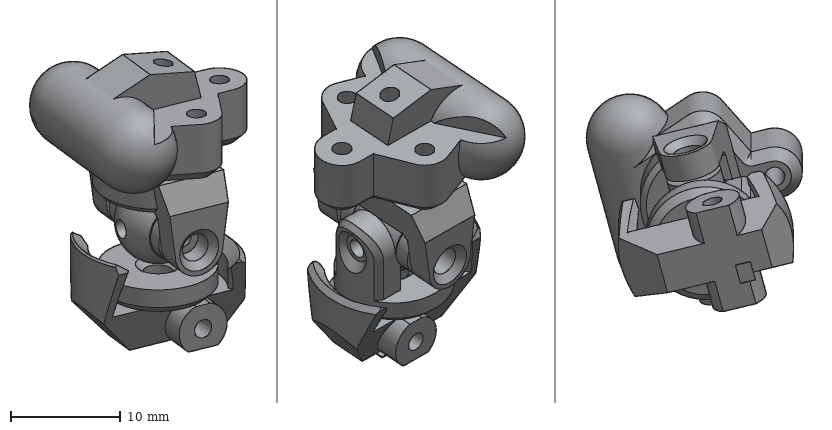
import cadquery as cq
import math


SCREW_HOLE = 1.8
CLEARANCE_HOLE = 2.7
COUNTERSINK = 4.1
PIVOT_R = 2.53
JOINT_R = 8.0

BASE_BOTTOM_Z = -11.42
BASE_TOP_Z = -7.0
DISC_TOP_Z = -4.47
WEB_BOTTOM_Z = 3.35
PLATE_BOTTOM_Z = 6.73
PLATE_TOP_Z = 12.65
APEX_Z = 16.25

PLATE_CHAMFER = 1.0
LOBE_R = 2.5
BACK_HOLE_Y = 6.5
WAIST_Y = 4.9
SIDE_LOBE_R = 2.33
SIDE_HOLE_X = 5.22
SIDE_HOLE_Y = 1.03
NECK_X = 6.45
NECK_Y = -2.28
BUMPER_R = 4.0
BUMPER_LENGTH = 11.0
BUMPER_Y = -5.75
BUMPER_Z = 10.73
RELIEF_START_X = 2.9
RELIEF_START_Y = -2.2
RELIEF_ANGLE = 29
HUMP_WIDTH = 5.0
HUMP_BACK_Y = 3.1
HUMP_SHOULDER_Y = 2.42
HUMP_SHOULDER_Z = 15.45
HUMP_APEX_Y = -2.28
HUMP_FRONT_Y = -6.15
HUMP_HOLE_Y = 0.55

ARM_INNER_X = 4.95
ARM_OUTER_X = 7.5
ARM_TOP_X = 6.03
ARM_SHOULDER_Z = 4.15
ARM_TOP_HALF_Y = 3.45
ARM_CORNER = 0.55
WEB_R = 6.0
WEB_CHAMFER = 0.55

BALL_R = 4.0
BALL_PIN_LENGTH = 9.0
DISC_R = 11.0 / 2
DISC_CHAMFER = 0.75
BRACKET_HALF_X = 3.0
BRACKET_FRONT_Y = 2.0
BRACKET_CHAMFER = 0.5
BACK_COUNTERSINK = 4.4

HINGE_Y = 1.9
HINGE_Z = -9.42
HINGE_LENGTH = 9.95
BASE_BOTTOM_HALF_X = 1.92
BASE_BACK_Y = 5.75
BASE_FRONT_Y = -4.1
BACK_EDGE_Z = -7.53
FRONT_EDGE_Z = -6.95
JAW_INNER_R = 6.42
FRONT_TIP_Z = -1.3
FRONT_FLARE = 15
FRONT_TIP_BEVEL = 0.2
FRONT_END_BEVEL = 1.0
FRONT_CORNER_WIDTH = 0.35
FRONT_CORNER_HEIGHT = 0.9
BACK_TIP_Z = -3.47
BACK_FLARE = 20
BACK_CORNER_WIDTH = 0.15
BACK_CORNER_HEIGHT = 0.28
BACK_TIP_BEVEL = 0.53
BACK_END_BEVEL = 0.53
EDGE_TOLERANCE = 0.15
MIDDLE_HALF_X = 0.55

PAD_LEFT_X = -2.67
PAD_RIGHT_X = -0.83
PAD_FRONT_Y = 2.55
PAD_BACK_Y = 3.97
PAD_BOTTOM_Z = APEX_Z - 27.8


def disc(radius, bottom, top, x=0, y=0):
    """Upright cylinder between two heights."""
    return cq.Workplane("XY", origin=(x, y, bottom)).circle(radius).extrude(top - bottom)


def x_cylinder(radius, length, y=0, z=0):
    """Cylinder along X, centred on x = 0."""
    return cq.Workplane("YZ", origin=(0, y, z)).circle(radius).extrude(length / 2, both=True)


def countersink(rim_centre, direction, rim_diameter=COUNTERSINK):
    """45 degree cone narrowing from its rim to the clearance hole."""
    rim_r = rim_diameter / 2
    hole_r = CLEARANCE_HOLE / 2
    cone = cq.Solid.makeCone(rim_r, hole_r, rim_r - hole_r, cq.Vector(*rim_centre), cq.Vector(*direction))
    return cq.Workplane(cone)


def tangent_point(point, centre, radius, side):
    """Point where a line from `point` touches a circle; `side` (+1 or -1) picks one of the two."""
    dx = point[0] - centre[0]
    dy = point[1] - centre[1]
    angle = math.atan2(dy, dx) + side * math.acos(radius / math.hypot(dx, dy))
    return (centre[0] + radius * math.cos(angle), centre[1] + radius * math.sin(angle))


def mirrored(point):
    """Point reflected to the other side of the vertical axis."""
    return (-point[0], point[1])


def plate_outline(height):
    """Three-lobed plate outline at a given height, with its front end buried in the bumper."""
    front_y = BUMPER_Y - PLATE_CHAMFER
    lobe = (SIDE_HOLE_X, SIDE_HOLE_Y)
    waist = (LOBE_R, WAIST_Y)
    neck = (NECK_X, NECK_Y)
    upper = tangent_point(waist, lobe, SIDE_LOBE_R, -1)
    lower = tangent_point(neck, lobe, SIDE_LOBE_R, 1)
    outer = (SIDE_HOLE_X + SIDE_LOBE_R, SIDE_HOLE_Y)
    reach = (front_y - lower[1]) / (NECK_Y - lower[1])
    front = (lower[0] + reach * (NECK_X - lower[0]), front_y)
    return (
        cq.Workplane("XY", origin=(0, 0, height))
        .moveTo(*front)
        .lineTo(*lower)
        .threePointArc(outer, upper)
        .lineTo(*waist)
        .lineTo(LOBE_R, BACK_HOLE_Y)
        .threePointArc((0, BACK_HOLE_Y + LOBE_R), (-LOBE_R, BACK_HOLE_Y))
        .lineTo(*mirrored(waist))
        .lineTo(*mirrored(upper))
        .threePointArc(mirrored(outer), mirrored(lower))
        .lineTo(*mirrored(front))
        .close()
    )


def make_bumper():
    """Round-ended roller with its back cleared above the plate."""
    bumper = x_cylinder(BUMPER_R, BUMPER_LENGTH, BUMPER_Y, BUMPER_Z)
    for side in (-1, 1):
        end = (side * BUMPER_LENGTH / 2, BUMPER_Y, BUMPER_Z)
        bumper = bumper.union(cq.Workplane("XY", origin=end).sphere(BUMPER_R))
    reach = BUMPER_LENGTH
    drop = reach * math.tan(math.radians(RELIEF_ANGLE))
    for side in (-1, 1):
        relief = (
            cq.Workplane("XY", origin=(0, 0, PLATE_TOP_Z))
            .moveTo(side * RELIEF_START_X, RELIEF_START_Y)
            .lineTo(side * (RELIEF_START_X + reach), RELIEF_START_Y - drop)
            .lineTo(side * (RELIEF_START_X + reach), RELIEF_START_Y)
            .close()
            .extrude(BUMPER_R)
        )
        bumper = bumper.cut(relief)
    return bumper


def make_mount():
    """Plate, bumper and hump in one piece, with four upright screw holes."""
    chamfer_top_z = PLATE_BOTTOM_Z + PLATE_CHAMFER
    plate = plate_outline(chamfer_top_z).extrude(PLATE_TOP_Z - chamfer_top_z)
    plate = plate.union(plate_outline(chamfer_top_z).extrude(-PLATE_CHAMFER, taper=45))
    hump_front_z = BUMPER_Z + math.sqrt(BUMPER_R**2 - (HUMP_FRONT_Y - BUMPER_Y) ** 2)
    hump = (
        cq.Workplane("YZ")
        .moveTo(HUMP_BACK_Y, PLATE_TOP_Z)
        .lineTo(HUMP_SHOULDER_Y, HUMP_SHOULDER_Z)
        .lineTo(HUMP_APEX_Y, APEX_Z)
        .lineTo(HUMP_FRONT_Y, hump_front_z)
        .lineTo(HUMP_FRONT_Y, PLATE_TOP_Z)
        .close()
        .extrude(HUMP_WIDTH / 2, both=True)
    )
    mount = plate.union(make_bumper()).union(hump)
    holes = [
        (0, BACK_HOLE_Y),
        (0, HUMP_HOLE_Y),
        (SIDE_HOLE_X, SIDE_HOLE_Y),
        (-SIDE_HOLE_X, SIDE_HOLE_Y),
    ]
    for x, y in holes:
        mount = mount.cut(disc(SCREW_HOLE / 2, PLATE_BOTTOM_Z, APEX_Z, x, y))
    return mount


def make_fork():
    """Two tapered arms joined by a web that is round at the front."""
    arch = (
        cq.Workplane("XZ")
        .moveTo(ARM_INNER_X, -PIVOT_R)
        .lineTo(ARM_OUTER_X, -PIVOT_R)
        .lineTo(ARM_OUTER_X, ARM_SHOULDER_Z)
        .lineTo(ARM_TOP_X, PLATE_BOTTOM_Z)
        .lineTo(-ARM_TOP_X, PLATE_BOTTOM_Z)
        .lineTo(-ARM_OUTER_X, ARM_SHOULDER_Z)
        .lineTo(-ARM_OUTER_X, -PIVOT_R)
        .lineTo(-ARM_INNER_X, -PIVOT_R)
        .lineTo(-ARM_INNER_X, WEB_BOTTOM_Z - ARM_CORNER)
        .lineTo(-ARM_INNER_X + ARM_CORNER, WEB_BOTTOM_Z)
        .lineTo(ARM_INNER_X - ARM_CORNER, WEB_BOTTOM_Z)
        .lineTo(ARM_INNER_X, WEB_BOTTOM_Z - ARM_CORNER)
        .close()
        .extrude(ARM_TOP_HALF_Y, both=True)
    )
    top_corner = (ARM_TOP_HALF_Y, PLATE_BOTTOM_Z)
    taper = (
        cq.Workplane("YZ")
        .moveTo(*top_corner)
        .lineTo(PIVOT_R, 0)
        .threePointArc((0, -PIVOT_R), (-PIVOT_R, 0))
        .lineTo(*mirrored(top_corner))
        .close()
        .extrude(ARM_OUTER_X, both=True)
    )
    web = disc(WEB_R, WEB_BOTTOM_Z, PLATE_BOTTOM_Z).faces("<Z").edges().chamfer(WEB_CHAMFER)
    behind_axis = cq.Workplane("XY").box(2 * WEB_R, WEB_R, PLATE_BOTTOM_Z, centered=(True, False, False))
    fork = arch.intersect(taper).union(web.cut(behind_axis))
    fork = fork.cut(disc(SCREW_HOLE / 2, WEB_BOTTOM_Z, PLATE_BOTTOM_Z, 0, HUMP_HOLE_Y))
    fork = fork.cut(x_cylinder(CLEARANCE_HOLE / 2, 2 * ARM_OUTER_X))
    for side in (-1, 1):
        fork = fork.cut(countersink((side * ARM_OUTER_X, 0, 0), (-side, 0, 0)))
    return fork


def make_ankle():
    """Ball with pivot pins, carried by an arched bracket on a round turntable."""
    turntable = disc(DISC_R, BASE_TOP_Z, DISC_TOP_Z).faces("<Z").edges().chamfer(DISC_CHAMFER)
    bracket = (
        cq.Workplane("XZ", origin=(0, BRACKET_FRONT_Y, 0))
        .moveTo(-BRACKET_HALF_X, DISC_TOP_Z)
        .lineTo(-BRACKET_HALF_X, 0)
        .threePointArc((0, BRACKET_HALF_X), (BRACKET_HALF_X, 0))
        .lineTo(BRACKET_HALF_X, DISC_TOP_Z)
        .close()
        .extrude(BRACKET_FRONT_Y - DISC_R)
        .intersect(disc(DISC_R, DISC_TOP_Z, BRACKET_HALF_X))
    )
    rim = cq.selectors.BoxSelector(
        (-DISC_R, BRACKET_FRONT_Y + 0.28, DISC_TOP_Z + 0.28),
        (DISC_R, DISC_R, BRACKET_HALF_X + 0.28),
    )
    bracket = bracket.faces(">Y").edges().edges(rim).chamfer(BRACKET_CHAMFER)
    ball_flats = cq.Workplane("XY").box(2 * BRACKET_HALF_X, 2 * BALL_R, 2 * BALL_R)
    ball = cq.Workplane("XY").sphere(BALL_R).intersect(ball_flats)
    ankle = turntable.union(bracket)
    ankle = ankle.union(x_cylinder(PIVOT_R, BALL_PIN_LENGTH)).union(ball)
    ankle = ankle.cut(x_cylinder(SCREW_HOLE / 2, BALL_PIN_LENGTH))
    ankle = ankle.cut(cq.Workplane("XZ").circle(SCREW_HOLE / 2).extrude(DISC_R, both=True))
    ankle = ankle.cut(countersink((0, DISC_R, 0), (0, -1, 0), BACK_COUNTERSINK))
    ankle = ankle.cut(disc(CLEARANCE_HOLE / 2, BASE_TOP_Z, DISC_TOP_Z))
    return ankle.cut(countersink((0, 0, DISC_TOP_Z), (0, 0, -1)))


def flared_wedge(flare, start_y, end_y, top, corner_width, corner_height):
    """Block between two Y positions; its sides lean outwards and its top corners are cut off."""
    slope = math.tan(math.radians(flare))
    side_z = top - corner_height
    side_half_x = BASE_BOTTOM_HALF_X + slope * (side_z - BASE_BOTTOM_Z)
    top_half_x = side_half_x - corner_width
    return (
        cq.Workplane("XZ", origin=(0, end_y, 0))
        .moveTo(-BASE_BOTTOM_HALF_X, BASE_BOTTOM_Z)
        .lineTo(BASE_BOTTOM_HALF_X, BASE_BOTTOM_Z)
        .lineTo(side_half_x, side_z)
        .lineTo(top_half_x, top)
        .lineTo(-top_half_x, top)
        .lineTo(-side_half_x, side_z)
        .close()
        .extrude(end_y - start_y)
    )


def is_inner_end(edge):
    """Whether an edge runs up one end of a jaw's inner face."""
    centre = edge.Center()
    on_inner_face = abs(math.hypot(centre.x, centre.y) - JAW_INNER_R) < EDGE_TOLERANCE
    return on_inner_face and abs(centre.x) > MIDDLE_HALF_X


def make_jaw(wedge, tip_z, tip_bevel, end_bevel):
    """Curved finger with a ridged tip and bevelled inner ends."""
    inner_bevel = JOINT_R - JAW_INNER_R - tip_bevel
    ring = (
        cq.Workplane("XZ")
        .moveTo(JAW_INNER_R, BASE_BOTTOM_Z)
        .lineTo(JOINT_R, BASE_BOTTOM_Z)
        .lineTo(JOINT_R, tip_z - tip_bevel)
        .lineTo(JOINT_R - tip_bevel, tip_z)
        .lineTo(JAW_INNER_R, tip_z - inner_bevel)
        .close()
        .revolve(360, (0, 0, 0), (0, 1, 0))
    )
    jaw = ring.intersect(wedge)
    inner_ends = [edge for edge in jaw.edges().vals() if is_inner_end(edge)]
    return jaw.newObject(inner_ends).chamfer(end_bevel)


def make_claw():
    """Base with a jaw at each end and a hinge barrel across it."""
    back_wedge = flared_wedge(
        BACK_FLARE, HINGE_Y, JOINT_R, BACK_TIP_Z, BACK_CORNER_WIDTH, BACK_CORNER_HEIGHT
    )
    front_wedge = flared_wedge(
        FRONT_FLARE, -JOINT_R, HINGE_Y, FRONT_TIP_Z, FRONT_CORNER_WIDTH, FRONT_CORNER_HEIGHT
    )
    floor = disc(JOINT_R, BASE_BOTTOM_Z, BASE_TOP_Z)
    claw = floor.intersect(back_wedge).union(floor.intersect(front_wedge))
    claw = claw.union(make_jaw(back_wedge, BACK_TIP_Z, BACK_TIP_BEVEL, BACK_END_BEVEL))
    claw = claw.union(make_jaw(front_wedge, FRONT_TIP_Z, FRONT_TIP_BEVEL, FRONT_END_BEVEL))
    profile = (
        cq.Workplane("YZ")
        .moveTo(BASE_FRONT_Y, BASE_BOTTOM_Z)
        .lineTo(BASE_BACK_Y, BASE_BOTTOM_Z)
        .lineTo(JOINT_R, BACK_EDGE_Z)
        .lineTo(JOINT_R, FRONT_TIP_Z)
        .lineTo(-JOINT_R, FRONT_TIP_Z)
        .lineTo(-JOINT_R, FRONT_EDGE_Z)
        .close()
        .extrude(JOINT_R, both=True)
    )
    claw = claw.intersect(profile)
    hinge = x_cylinder(PIVOT_R, HINGE_LENGTH, HINGE_Y, HINGE_Z)
    claw = claw.union(hinge.intersect(disc(JOINT_R, BASE_BOTTOM_Z, BASE_TOP_Z)))
    return claw.cut(x_cylinder(SCREW_HOLE / 2, HINGE_LENGTH, HINGE_Y, HINGE_Z))


def make_pad():
    """Thin pad against the underside of the claw."""
    width = PAD_RIGHT_X - PAD_LEFT_X
    depth = PAD_BACK_Y - PAD_FRONT_Y
    height = BASE_BOTTOM_Z - PAD_BOTTOM_Z
    pad = cq.Workplane("XY").box(width, depth, height, centered=False)
    return pad.translate((PAD_LEFT_X, PAD_FRONT_Y, PAD_BOTTOM_Z))


mount = make_mount()
fork = make_fork()
ankle = make_ankle()
claw = make_claw()
pad = make_pad()

result = cq.Compound.makeCompound([mount.val(), fork.val(), ankle.val(), claw.val(), pad.val()])